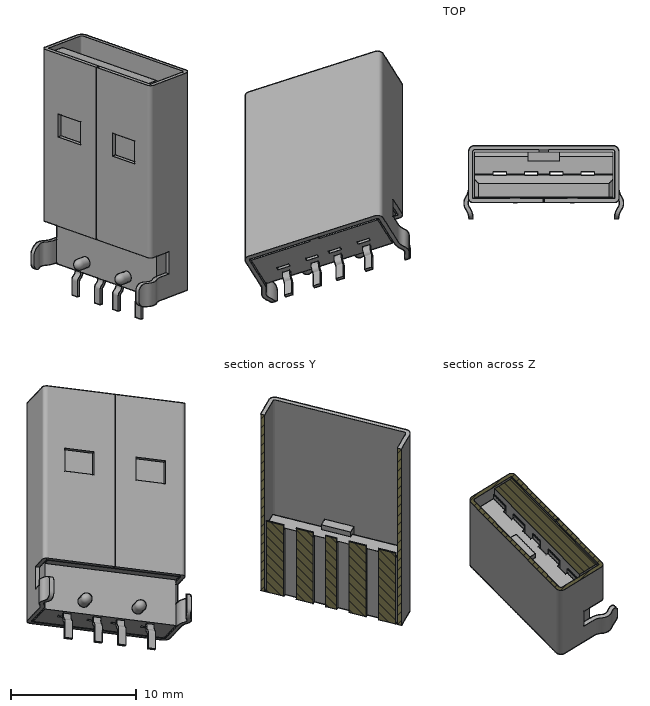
import cadquery as cq
import math


total_height = 20.85
pin_reach = 2.2
shell_height = total_height - pin_reach
shell_width = 12.0
shell_depth = 4.55
wall = 0.35
back_corner_radius = 0.5

seam_width = 0.06
notch_top = 3.9
notch_back_y = -2.44
foot_height = 2.0
foot_tip_y = -5.85
foot_corner_radius = 0.63
foot_start_y = -3.42
foot_swell_y = -4.08
foot_swell_x = 6.2
foot_return_y = -5.08
foot_return_x = foot_swell_x
window_width = 2.45
window_height = 1.95
window_offset = 3.0
window_drop = 5.15

insulator_width = 11.05
base_back_y = -0.5
base_front_y = -3.38
base_height = 7.0
base_chamfer = 0.38
tongue_back_y = -2.35
tongue_front_y = -4.1
tongue_recess = 0.15
tongue_height = shell_height - tongue_recess
tongue_back_chamfer = 0.67
tongue_end_chamfer = 0.33
ledge_depth = 0.08
ledge_height = 0.5
tab_width = 2.5
tab_depth = 0.73
tab_rise = 0.5
bump_width = 0.8
slot_width = 1.05
slot_back_y = -2.1
post_spacing = 4.56
post_diameter = 0.92
post_z = 1.02
post_tip_y = -4.58

pin_positions = (-3.5, -1.0, 1.0, 3.5)
pin_width = 0.63
pin_thickness = 0.25
pin_back_y = -2.77
pin_jog = 0.38
pin_jog_top = -0.25
pin_jog_bottom = -0.92
pin_embed = 2.0

straight_tolerance = 1e-6


def box(width, y_front, y_back, z_low, z_high, x_mid=0.0):
    """Block centred on x_mid between the given Y and Z limits."""
    return (
        cq.Workplane("XY")
        .box(width, y_back - y_front, z_high - z_low, centered=(True, False, False))
        .translate((x_mid, y_front, z_low))
    )


def bent_strip(plane, face_points, heading, thickness):
    """Strip outline whose one face runs through face_points in tangent arcs.

    heading is the starting direction in radians. The other face lies at a
    constant thickness to the right of the direction of travel.
    """
    other_points = []
    headings = []
    for index, (u, v) in enumerate(face_points):
        if index > 0:
            last_u, last_v = face_points[index - 1]
            heading = 2 * math.atan2(v - last_v, u - last_u) - heading
        headings.append(heading)
        other_points.append((u + thickness * math.sin(heading), v - thickness * math.cos(heading)))

    def arc_middle(points, index):
        """Middle point of the tangent arc from points[index] to the next point."""
        (u0, v0), (u1, v1) = points[index], points[index + 1]
        bulge = math.tan((headings[index + 1] - headings[index]) / 4) / 2
        return (
            (u0 + u1) / 2 + bulge * (v1 - v0),
            (v0 + v1) / 2 - bulge * (u1 - u0),
        )

    def follow(outline, points, index, end):
        turn = headings[index + 1] - headings[index]
        if abs(turn) < straight_tolerance:
            return outline.lineTo(*points[end])
        return outline.threePointArc(arc_middle(points, index), points[end])

    outline = cq.Workplane(plane).moveTo(*face_points[0])
    spans = range(len(face_points) - 1)
    for index in spans:
        outline = follow(outline, face_points, index, index + 1)
    outline = outline.lineTo(*other_points[-1])
    for index in reversed(spans):
        outline = follow(outline, other_points, index, index)
    return outline.close()


def make_foot():
    """Right-hand solder foot, an S-bent continuation of the side wall."""
    outer_x = shell_width / 2
    start = (outer_x, foot_start_y)
    swell = (foot_swell_x, foot_swell_y)
    back = (foot_return_x, foot_return_y)
    swell_lean = 2 * math.atan2(swell[0] - start[0], start[1] - swell[1])
    return_lean = 2 * math.atan2(back[0] - swell[0], swell[1] - back[1]) - swell_lean
    end_x = back[0] + (foot_return_y - foot_tip_y) * math.tan(return_lean / 2)
    face = [(outer_x, notch_back_y), start, swell, back, (end_x, foot_tip_y)]
    foot = bent_strip("XY", face, -math.pi / 2, wall).extrude(foot_height)
    return foot.faces("<Y").edges("|X").fillet(foot_corner_radius)


def make_shell():
    outer = box(shell_width, -shell_depth, 0, 0, shell_height)
    outer = outer.edges("|Z and >Y").fillet(back_corner_radius)
    outer = outer.edges("|Z and <Y").fillet(wall)
    inner = box(shell_width - 2 * wall, wall - shell_depth, -wall, 0, shell_height)
    inner = inner.edges("|Z and >Y").fillet(back_corner_radius - wall)
    shell = outer.cut(inner)

    shell = shell.cut(box(shell_width, -shell_depth, notch_back_y, 0, notch_top))
    shell = shell.cut(box(seam_width, -shell_depth, wall - shell_depth, 0, shell_height))

    window_top = shell_height - window_drop
    for side in (-1, 1):
        shell = shell.cut(
            box(
                window_width, -shell_depth, wall - shell_depth,
                window_top - window_height, window_top, side * window_offset,
            )
        )

    foot = make_foot()
    return shell.union(foot).union(foot.mirror("YZ"))


def make_tongue():
    """Tongue block tapered at the top along its back edge and both ends."""
    tongue = box(insulator_width, tongue_front_y, tongue_back_y, notch_top, tongue_height)
    tongue = tongue.faces(">Z").edges(">Y").chamfer(tongue_back_chamfer)
    return tongue.faces(">Z").edges("|Y").chamfer(tongue_end_chamfer)


def make_post(x):
    """Locating post with a domed tip, pointing forward from the base."""
    radius = post_diameter / 2
    shank_end_y = post_tip_y + radius
    shank = (
        cq.Workplane("XZ", origin=(x, base_front_y, post_z))
        .circle(radius)
        .extrude(base_front_y - shank_end_y)
    )
    dome = cq.Workplane("XY").sphere(radius).translate((x, shank_end_y, post_z))
    return shank.union(dome)


def make_insulator():
    base = box(insulator_width, base_front_y, base_back_y, 0, base_height)
    base = base.faces(">Z").edges(">Y").chamfer(base_chamfer)
    ledge_top = base_height + ledge_height
    ledge = box(insulator_width, tongue_front_y, tongue_back_y + ledge_depth, notch_top, ledge_top)
    tab = box(tab_width, base_back_y - tab_depth, base_back_y, 0, base_height + tab_rise)
    bump = box(bump_width, base_back_y, -wall, 0, base_height - base_chamfer)
    insulator = base.union(make_tongue()).union(ledge).union(tab).union(bump)
    for side in (-1, 1):
        insulator = insulator.union(make_post(side * post_spacing / 2))
    for x in pin_positions:
        insulator = insulator.cut(box(slot_width, tongue_back_y, slot_back_y, 0, ledge_top, x))
        insulator = insulator.cut(
            box(pin_width, pin_back_y - pin_thickness, pin_back_y, 0, pin_embed, x)
        )
    return insulator


def make_pin(x):
    """Contact pin whose tail steps forward through two equal bends."""
    upper_y = pin_back_y - pin_thickness
    tail_y = upper_y - pin_jog
    front_face = [
        (tail_y, -pin_reach),
        (tail_y, pin_jog_bottom),
        ((upper_y + tail_y) / 2, (pin_jog_top + pin_jog_bottom) / 2),
        (upper_y, pin_jog_top),
        (upper_y, pin_embed),
    ]
    strip = bent_strip("YZ", front_face, math.pi / 2, pin_thickness)
    return strip.extrude(pin_width / 2, both=True).translate((x, 0, 0))


shell = make_shell()
insulator = make_insulator()
pins = [make_pin(x) for x in pin_positions]

result = cq.Compound.makeCompound([shell.val(), insulator.val(), *[pin.val() for pin in pins]])